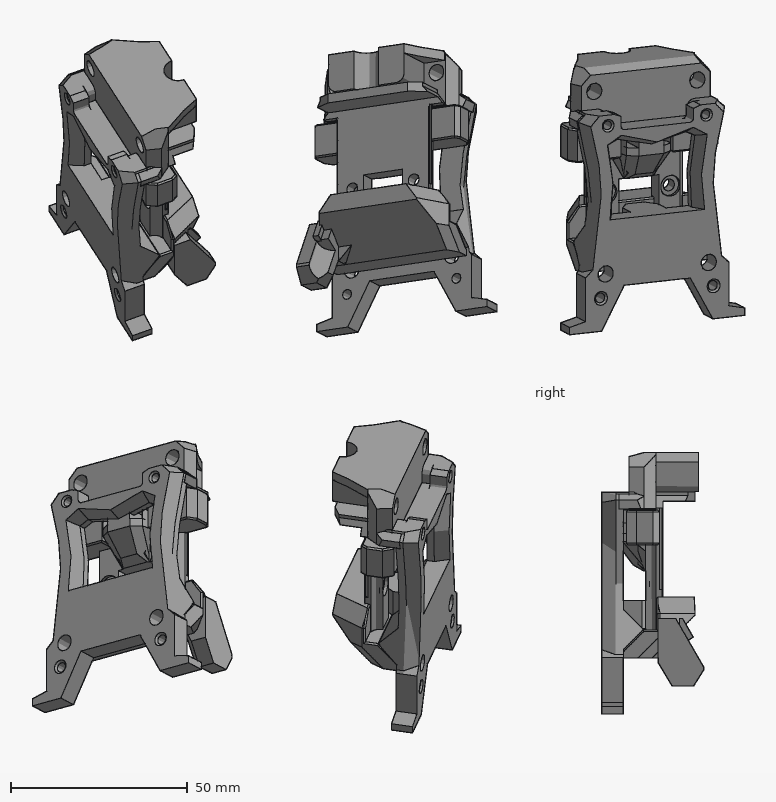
import cadquery as cq
import math

bevel_depth = 4.0
frame_depth = 6.15
ear_front = 5.0
head_face = 7.7
core_front = 12.45
plate_front = 15.35
plate_back = 17.4
jaw_back = 26.45
head_back = 27.4

height = 74.1
saddle_z = 58.1
clamp_top = 57.75
nose_top = 54.2
clamp_bottom = 47.95
shoulder_z = 62.85
cradle_top = 33.2
cradle_rim = 28.5
cradle_bottom = 15.85
seat_z = 23.9
window_sill = 32.25
contact_rise = 12.15

reach = 33.35

insert_hole = 4.7
insert_x = 16.1
head_insert_z = 68.1
frame_insert_z = 16.6
shoulder_hole = (2.5, 3.6, 15.35, 59.75)
leg_hole = (2.8, 4.0, 17.6, 9.6)
screw_hole = 3.4
screw_head = 6.0
screw_head_depth = 1.05
screw_x = 9.85
screw_z = 36.85


def mirrored(half):
    """Closed outline from its +X half, listed without any point on the mirror line."""
    return half + [(-x, v) for x, v in reversed(half)]


def wire_xz(points, y):
    return cq.Wire.makePolygon([cq.Vector(x, y, z) for x, z in points], close=True)


def wire_xy(points, z):
    return cq.Wire.makePolygon([cq.Vector(x, y, z) for x, y in points], close=True)


def loft(first, second):
    return cq.Workplane(cq.Solid.makeLoft([first, second], True))


def prism_y(points, y0, y1):
    return cq.Workplane("XZ", origin=(0, y0, 0)).polyline(points).close().extrude(y0 - y1)


def prism_z(points, z0, z1):
    return cq.Workplane("XY", origin=(0, 0, z0)).polyline(points).close().extrude(z1 - z0)


def prism_x(points, x0, x1):
    return cq.Workplane("YZ", origin=(x0, 0, 0)).polyline(points).close().extrude(x1 - x0)


def box(x0, x1, y0, y1, z0, z1):
    return cq.Workplane("XY").box(x1 - x0, y1 - y0, z1 - z0, centered=False).translate((x0, y0, z0))


def holes_y(diameter, x, z, y0, y1):
    """A mirrored pair of round holes along Y."""
    plane = cq.Workplane("XZ", origin=(0, y0, 0)).pushPoints([(x, z), (-x, z)])
    return plane.circle(diameter / 2).extrude(y0 - y1)


def countersinks_y(diameter, mouth, x, z):
    """A mirrored pair of 45 degree countersinks in the front face."""
    plane = cq.Workplane("XZ").pushPoints([(x, z), (-x, z)])
    return plane.circle(mouth / 2).extrude(-(mouth - diameter) / 2, taper=45)


saddle_half = 11.3
saddle_fillet = 1.1
beam_half = 8.0
boss_inner = 12.75
boss_root = 14.1
boss_radius = 5.1 / 2
skirt_half = 22.15
leg_half = [(17.35, 0), (27.35, 0), (27.35, 2.15), (22.4, 3.3), (22.4, 16.1)]
saddle_edge = [(13.5, shoulder_z), (saddle_half, 62.05), (saddle_half, saddle_z)]
front_bar = [(20.1, 18.2), (17.5, 39.65), (18.15, 48.55), (20.75, 60.0), (18.5, 62.3), (18.1, shoulder_z)]
back_bar = [(21.7, 16.8), (18.75, 36.9), (19.7, 45.95), (22.8, 60.6), (20.9, 62.3), (20.6, shoulder_z)]
arch_corner = [(10.3, 12.7)]
front_outline = mirrored(arch_corner + leg_half + front_bar + saddle_edge)
back_outline = mirrored(arch_corner + leg_half + back_bar + saddle_edge)

window_half_front = [(14.75, window_sill), (13.8, 42.55), (15.6, 54.0), (11.2, 56.55)]
window_half_back = [(12.5, window_sill), (12.1, 42.55), (13.6, 53.1), (10.7, 54.4)]
window_dip_front = 53.45
window_dip_back = 51.95

wedge_top = 35.8
wedge_depth = (wedge_top - contact_rise) / 2
wedge_profile = [(0, wedge_top), (wedge_depth, contact_rise + wedge_depth), (0, contact_rise)]
tongue_bottom = seat_z + 0.3
tongue_half = 5.55
tongue_shoulder = 11.35
tongue_tip = 15.1
tongue_tip_half = 2.9


def window_outline(half, dip):
    return half + [(0, dip)] + [(-x, z) for x, z in reversed(half)]


def frame_window():
    front = window_outline(window_half_front, window_dip_front)
    back = window_outline(window_half_back, window_dip_back)
    bevel = loft(wire_xz(front, 0), wire_xz(back, bevel_depth))
    return bevel.union(prism_y(back, bevel_depth, frame_depth))


def boss_pair(y0, y1):
    """Rounded bosses behind the shoulders, continuing their outer slopes."""
    outline = [(boss_inner, saddle_z), (skirt_half, saddle_z)] + back_bar[-3:] + [(boss_inner, shoulder_z)]
    boss = prism_y(outline, y0, y1)
    inner_edge = cq.selectors.NearestToPointSelector((boss_inner, y0, shoulder_z))
    boss = boss.edges("|Y").edges(inner_edge).fillet(boss_radius)
    return boss.union(boss.mirror("YZ"))


def frame_wedge():
    """Triangular ridge on the back, flush with the sides of the frame."""
    return prism_y(back_outline, frame_depth, wedge_depth).intersect(prism_x(wedge_profile, -reach, reach))


def frame_tongue():
    """Central tongue that reaches into the window of the plate."""
    half = [(tongue_half, bevel_depth), (tongue_half, tongue_shoulder), (tongue_tip_half, tongue_tip)]
    return prism_z(mirrored(half), tongue_bottom, window_sill)


def build_frame(nose, head):
    body = loft(wire_xz(front_outline, 0), wire_xz(back_outline, bevel_depth))
    body = body.union(prism_y(back_outline, bevel_depth, frame_depth))
    body = body.union(box(-beam_half, beam_half, frame_depth, head_face, nose_top, saddle_z))
    body = body.union(box(-boss_root, boss_root, frame_depth, head_face, clamp_top, saddle_z))
    for side in (-1, 1):
        corner = cq.selectors.NearestToPointSelector((side * saddle_half, ear_front / 2, saddle_z))
        body = body.edges("|Y").edges(corner).fillet(saddle_fillet)
    body = body.cut(box(-reach, reach, ear_front, reach, saddle_z, height))
    body = body.union(boss_pair(ear_front, head_face))
    body = body.union(frame_wedge()).cut(frame_window()).union(frame_tongue())
    body = body.cut(nose).cut(head)
    body = body.cut(holes_y(insert_hole, insert_x, frame_insert_z, 0, wedge_depth))
    for diameter, mouth, x, z in (shoulder_hole, leg_hole):
        body = body.cut(holes_y(diameter, x, z, 0, frame_depth))
        body = body.cut(countersinks_y(diameter, mouth, x, z))
    return body


core_half = 12.9
flange_half = 15.0
cove_radius = 3.05
jaw_half = 16.45
jaw_side = 18.5
jaw_bottom = 60.25
jaw_top = 62.9
window_half = 6.2
edge_chamfer = 0.4
groove_width = 0.75
groove_length = 23.35
groove_y = 16.7
groove_mid_z = 46.9
lip_z = 48.85
chin_z = 42.25
root_z = 40.5
cheek_z = 46.1
cheek_y = 10.2
root_half = 4.7
bore_radius = 6.9
bore_y = 6.7
bore_floor = 51.15
fin_half = 3.85


def build_nose():
    """Tapered nose with a round bore behind, leaving a flat fin along its centre."""
    lip = [(3.9, 3.9), (6.9, 5.9), (beam_half, core_front)]
    chin = [(2.8, 8.9), (5.2, 11.5), (5.5, core_front)]
    root = [(4.2, 12.0), (4.6, 12.2), (root_half, core_front)]
    body = prism_z(mirrored(lip), lip_z, nose_top)
    body = body.union(loft(wire_xy(mirrored(chin), chin_z), wire_xy(mirrored(lip), lip_z)))
    body = body.union(loft(wire_xy(mirrored(root), root_z), wire_xy(mirrored(chin), chin_z)))
    cheek = mirrored([(root_half, root_z), (beam_half, cheek_z), (beam_half, lip_z)])
    cheek_front = mirrored([(4.6, 42.55), (7.5, 47.9), (7.55, lip_z)])
    body = body.union(loft(wire_xz(cheek_front, cheek_y), wire_xz(cheek, core_front)))
    bore = cq.Workplane("XY", origin=(0, bore_y, bore_floor)).circle(bore_radius)
    bore = bore.extrude(nose_top - bore_floor)
    fin = box(-fin_half, fin_half, 0, reach, 0, height)
    return body.cut(bore.cut(fin))


def plate_blank():
    """Plate section with a concave cove on each front corner."""
    cove_x = core_half + cove_radius
    angle = math.acos((cove_x - flange_half) / cove_radius)
    cove_end = core_front + cove_radius * math.sin(angle)
    mid_x = cove_x - cove_radius * math.cos(angle / 2)
    mid_y = core_front + cove_radius * math.sin(angle / 2)
    section = cq.Workplane("XY", origin=(0, 0, seat_z))
    section = section.moveTo(-core_half, core_front).lineTo(core_half, core_front)
    section = section.threePointArc((mid_x, mid_y), (flange_half, cove_end)).lineTo(flange_half, plate_back)
    section = section.lineTo(-flange_half, plate_back).lineTo(-flange_half, cove_end)
    section = section.threePointArc((-mid_x, mid_y), (-core_half, core_front)).close()
    return section.extrude(clamp_top - seat_z).edges("|Z and >Y").chamfer(edge_chamfer)


def plate_jaw():
    flare = mirrored([(19.1, 58.3), (jaw_half, 61.9), (jaw_half, jaw_top)])
    stem = prism_y(flare, plate_front, plate_back)
    plan = mirrored([(jaw_side, plate_front), (jaw_side, 23.2), (12.8, jaw_back)])
    lip = prism_y(flare, plate_front, jaw_back).intersect(prism_z(plan, jaw_bottom, jaw_top))
    neck = box(-flange_half, flange_half, plate_front, plate_back, clamp_top, jaw_bottom)
    return stem.union(lip).union(neck)


def build_plate(nose):
    body = plate_blank().union(nose).union(plate_jaw())
    body = body.cut(box(-window_half, window_half, 0, reach, 0, root_z))
    body = body.cut(holes_y(screw_hole, screw_x, screw_z, core_front, plate_back))
    body = body.cut(holes_y(screw_head, screw_x, screw_z, core_front, core_front + screw_head_depth))
    for side in (-1, 1):
        groove = cq.Workplane("XY").box(groove_width, groove_width, groove_length)
        body = body.cut(groove.translate((side * flange_half, groove_y, groove_mid_z)))
    return body


head_half = 21.5
ear_inner = 20.9
head_bevel_y = 12.0
top_slab_z = 71.4
rail_half = 12.15
rail_fillet = 2.5
rail_bottom = 63.0
notch_radius = 3.9
notch_y = head_back


def head_front():
    front = mirrored([(20.15, saddle_z), (20.15, 70.05), (17.3, 72.9)])
    middle = mirrored([(head_half, saddle_z), (head_half, 70.0), (17.35, height)])
    back = mirrored([(19.0, saddle_z), (19.0, 73.45), (18.3, height)])
    bevel = loft(wire_xz(front, head_face), wire_xz(middle, head_bevel_y))
    return bevel.union(loft(wire_xz(middle, head_bevel_y), wire_xz(back, plate_front)))


def head_skirt():
    """Sloped shoulders behind the bosses of the frame, with an ear outside each boss."""
    plan = mirrored([(23, ear_front), (23, 9.85), (20.6, 13.6)])
    ears = boss_pair(ear_front, head_face).cut(box(-ear_inner, ear_inner, 0, reach, 0, height))
    return boss_pair(head_face, head_bevel_y).union(ears).intersect(prism_z(plan, saddle_z, height))


def head_rail():
    body = box(-rail_half, rail_half, plate_front, head_back, rail_bottom, height)
    body = body.edges("|Y and <Z").fillet(rail_fillet)
    slab = mirrored([(18.7, plate_front), (14.45, 22.4), (rail_half, head_back)])
    return body.union(prism_z(slab, top_slab_z, height))


def build_head():
    body = head_front().union(head_skirt()).union(head_rail())
    notch = cq.Workplane("XY", origin=(0, notch_y, rail_bottom)).circle(notch_radius).extrude(height)
    return body.cut(notch).cut(holes_y(insert_hole, insert_x, head_insert_z, 0, reach))


cradle_half = 20.75
cradle_top_half = 17.3
seat_back = 15.6
rim_chamfer = 0.45
flank_floor = 20.75
arm_inner = 13.7
arm_outer = 21.65
arm_groove_radius = 3.85
arm_tilt = 30.0
groove_end_y = 23.7
groove_end_z = 20.45
stop_inner = 16.15
stop_outer = 17.9
lug_front = 8.9
lug_back = 18.4
lug_top = 20.15
arm_chamfer = 3.0


def cradle_bevel(side):
    """Wedge that bevels the underside along one flank, rising at 45 degrees towards the back."""
    section = [(18.3, 0.75), (20.9, 5.9), (22.2, 5.9), (22.2, 0.75)]
    low = [(side * x, z) for x, z in section]
    high = [(side * x, reach + z) for x, z in section]
    return loft(wire_xz(low, 0), wire_xz(high, reach))


def cradle_body():
    rim = mirrored([(cradle_half, 0), (cradle_half, 16.5), (15.65, jaw_back)])
    top = mirrored([(cradle_top_half, 0), (cradle_top_half, seat_back), (12.1, 26.25)])
    body = prism_z(rim, cradle_bottom, cradle_rim)
    body = body.union(loft(wire_xy(rim, cradle_rim), wire_xy(top, cradle_top)))
    side = [
        (frame_depth, cradle_bottom),
        (frame_depth, frame_depth + contact_rise),
        (seat_z - contact_rise, seat_z),
        (seat_back, seat_z),
        (seat_back, cradle_top),
        (jaw_back, cradle_top),
        (jaw_back, 28.1),
        (14.2, cradle_bottom),
    ]
    body = body.intersect(prism_x(side, -reach, reach))
    body = body.cut(cradle_bevel(1)).cut(cradle_bevel(-1))
    for inner, outer in ((cradle_top_half, reach), (-reach, -cradle_top_half)):
        flank = cq.selectors.BoxSelector((inner, 0, flank_floor), (outer, seat_back + 0.1, cradle_top))
        body = body.edges(flank).chamfer(rim_chamfer)
    return body.faces(">Z").edges("<Y").chamfer(rim_chamfer)


def cradle_arm():
    profile = [(28.9, 13.35), (28.9, 12.5), (26.0, 7.9), (19.95, 7.9), (16.0, 14.5), (16.0, 27.05), (21.0, 27.05)]
    body = prism_x(profile, arm_inner, arm_outer)
    for y, z in ((23, 7.9), (18.0, 11.2)):
        body = body.edges(cq.selectors.NearestToPointSelector((arm_inner, y, z))).chamfer(arm_chamfer)
    groove = cq.Workplane("XY").circle(arm_groove_radius).extrude(-reach)
    groove = groove.rotate((0, 0, 0), (1, 0, 0), arm_tilt)
    groove = groove.translate((arm_inner, groove_end_y, groove_end_z))
    stop = [(25.95, 21.8), (24.2, 20.7), (19.3, 20.7), (19.3, 27.05), (22.9, 27.05)]
    return body.cut(groove).union(prism_x(stop, stop_inner, stop_outer))


def build_cradle(plate):
    lug_inner = arm_inner - (lug_top - cradle_bottom)
    lug_outline = [(lug_inner, lug_top), (arm_inner, cradle_bottom), (arm_inner, lug_top)]
    lug = prism_y(lug_outline, lug_front, lug_back)
    return cradle_body().union(lug).union(cradle_arm()).cut(plate)


clamp_inner = beam_half + 0.1
clamp_outer = 23.4
clamp_front = 7.0
clamp_back = 16.3
clamp_chamfer = 0.45


def build_clamp(side, plate):
    plan = [
        (clamp_inner, clamp_front),
        (21.65, clamp_front),
        (clamp_outer, 9.8),
        (clamp_outer, 14.5),
        (22.4, clamp_back),
        (clamp_inner, clamp_back),
    ]
    body = prism_z(plan, clamp_bottom, clamp_top).faces(">Z or <Z").chamfer(clamp_chamfer)
    if side < 0:
        body = body.mirror("YZ")
    return body.cut(plate)


nose = build_nose()
plate = build_plate(nose)
head = build_head()
frame = build_frame(nose, head)
cradle = build_cradle(plate)
clamps = [build_clamp(side, plate) for side in (-1, 1)]

result = cq.Compound.makeCompound(
    [frame.val(), plate.val(), head.val(), cradle.val()] + [clamp.val() for clamp in clamps]
)